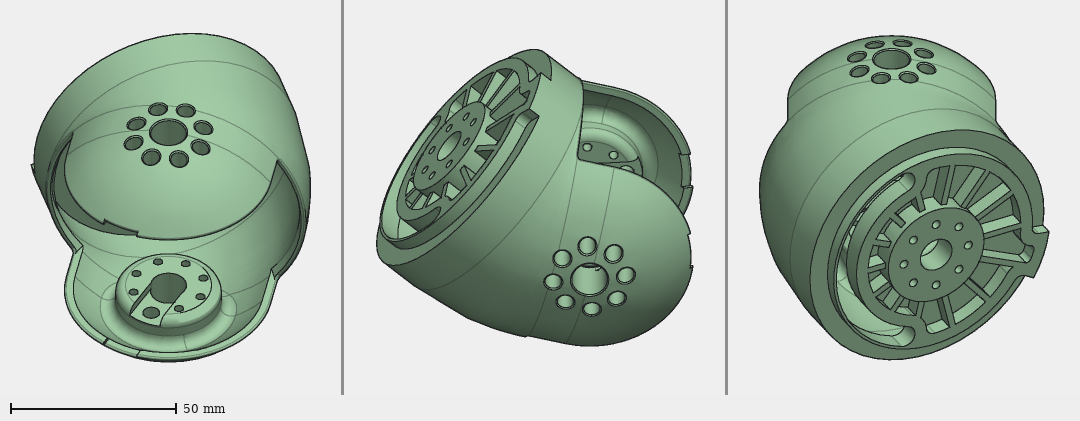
import cadquery as cq
import math


shell_radius = 40.0
wall = 2.5
cavity_radius = shell_radius - wall
base_length = 12.93
bend_angle = 27.85
pivot_gap = 0.03
bend_radius = shell_radius + pivot_gap
straight_length = 11.5

bend = math.radians(bend_angle)
neck_dir = (math.cos(bend), -math.sin(bend))
neck_across = (math.sin(bend), math.cos(bend))
pivot = (base_length, -bend_radius)
neck_end = (pivot[0] + bend_radius * neck_across[0], pivot[1] + bend_radius * neck_across[1])
joint_x = neck_end[0] + straight_length * neck_dir[0]
joint_y = neck_end[1] + straight_length * neck_dir[1]

mouth_half = 24.0
mouth_corner = 1.2
rim_fillet = 0.5
clearance_radius = 40.3
notch_width = 11.5
notch_half_height = 25.0
notch_inner = 20.0

pad_radius = 16.0
pad_half_gap = 22.5
pad_edge_fillet = 3.0
pad_root_fillet = 3.0
channel_width = 10.4
channel_depth = 2.5
channel_angle = -45.0
channel_overrun = 1.0

center_hole = 10.8
bolt_circle = 11.0
bolt_count = 8
bolt_hole = 2.7
bolt_counterbore = 5.0
bolt_seat = 27.0
hole_chamfer = 0.4
cable_hole_index = 7

plate_radius = 34.0
plate_front = -4.0
floor_back = wall
hub_radius = 32.7 / 2
hub_front = -6.0
tab_center_angle = 19.2
tab_half_angle = 11.6
tab_fillet = 2.5

border = 4.0
pocket_floor = 1.0
lobe_fillet = 1.8
lobe_root_fillet = 5.0
pocket_corner_fillet = 2.8
rib_count = 14
rib_width = 2.0

slot_outer = 33.1
slot_inner = 26.2
slot_half_span = 71.0

tolerance = 0.01
far = 3 * shell_radius
edge_samples = (0.0, 0.3, 0.7, 1.0)



def base_plane(x):
    """Workplane facing +X: local x runs along Y, local y along Z."""
    return cq.Workplane("YZ", origin=(x, 0, 0))


def neck_plane():
    """Workplane at the end of the bend: local x runs across the neck, local y along Z."""
    plane = cq.Plane(
        origin=(neck_end[0], neck_end[1], 0),
        xDir=(neck_across[0], neck_across[1], 0),
        normal=(neck_dir[0], neck_dir[1], 0),
    )
    return cq.Workplane(plane)


def joint_plane(z):
    """Workplane facing +Z, centred on the joint axis."""
    return cq.Workplane("XY", origin=(joint_x, joint_y, z))


def both_ears(upper):
    return upper.union(upper.mirror("XY"))


def along_channel(solid):
    """Turn a solid built along +X about the joint axis into the channel direction."""
    return solid.rotate((joint_x, joint_y, 0), (joint_x, joint_y, 1), channel_angle)


def bolt_points():
    step = 2 * math.pi / bolt_count
    return [
        (bolt_circle * math.cos(i * step), bolt_circle * math.sin(i * step))
        for i in range(bolt_count)
    ]


def sample_points(edge):
    return [edge.positionAt(fraction) for fraction in edge_samples]


def lies_on_circle(edge, radius, offset_x=0.0, offset_y=0.0):
    """True if the edge stays at one distance from an axis parallel to the joint axis."""
    for point in sample_points(edge):
        distance = math.hypot(point.x - joint_x - offset_x, point.y - joint_y - offset_y)
        if abs(distance - radius) > tolerance:
            return False
    return True


def reach(edge):
    """Distance of an edge's centre from the base axis."""
    return math.hypot(edge.Center().y, edge.Center().z)



def tube(radius, start):
    """Solid bent tube that ends in a ball around the joint."""
    base = base_plane(start).circle(radius).extrude(base_length - start)
    bent = (
        base_plane(base_length)
        .circle(radius)
        .revolve(bend_angle, (-bend_radius, 0), (-bend_radius, -1))
    )
    straight = neck_plane().circle(radius).extrude(straight_length)
    ball = joint_plane(0).sphere(radius)
    return base.union(bent).union(straight).union(ball)


def mouth():
    """Slab that separates the ears, square to the neck, with rounded root corners."""
    slab = neck_plane().rect(far, 2 * mouth_half).extrude(far)
    toward_base = cq.Vector(-neck_dir[0], -neck_dir[1], 0)
    root = slab.faces(cq.selectors.DirectionMinMaxSelector(toward_base))
    across = cq.Vector(neck_across[0], neck_across[1], 0)
    return root.edges(cq.selectors.ParallelDirSelector(across)).fillet(mouth_corner)


def is_mouth_rim(edge):
    """True for edges that bound the mouth on the outside of the shell."""
    for point in sample_points(edge):
        past_bend = (point.x - neck_end[0]) * neck_dir[0] + (point.y - neck_end[1]) * neck_dir[1]
        if past_bend < -tolerance or abs(point.z) > mouth_half + tolerance:
            return False
    middle = edge.positionAt(0.5)
    rim_radius = math.sqrt(shell_radius ** 2 - mouth_half ** 2)
    return math.hypot(middle.x - joint_x, middle.y - joint_y) > rim_radius - 2 * tolerance


def rim_notch():
    """Recess in the upper ear's rim, in line with the pad channel."""
    notch = (
        joint_plane(0)
        .center(notch_inner, 0)
        .rect(shell_radius, notch_width, centered=(False, True))
        .extrude(notch_half_height)
    )
    return along_channel(notch)


def is_notch_sill(edge):
    """True for the outer edges of the notch floors."""
    sill_radius = math.sqrt(shell_radius ** 2 - notch_half_height ** 2)
    at_floor = abs(abs(edge.Center().z) - notch_half_height) < tolerance
    return at_floor and lies_on_circle(edge, sill_radius)


def outer_shell():
    """Outer solid with the mouth and rim notches cut and their outer edges rounded."""
    shell = tube(shell_radius, 0).cut(mouth())
    rim = [edge for edge in shell.edges().vals() if is_mouth_rim(edge)]
    shell = shell.newObject(rim).fillet(rim_fillet).cut(both_ears(rim_notch()))
    sills = [edge for edge in shell.edges().vals() if is_notch_sill(edge)]
    return shell.newObject(sills).fillet(rim_fillet)



def upper_pad(top):
    pad = joint_plane(pad_half_gap).circle(pad_radius).extrude(top - pad_half_gap)
    return pad.faces("<Z").edges().fillet(pad_edge_fillet)


def pad_channel():
    """Groove in the upper pad, from the centre hole out through the pad's edge."""
    plane = joint_plane(pad_half_gap)
    inner_end = plane.circle(channel_width / 2).extrude(channel_depth)
    straight = (
        plane.rect(pad_radius + channel_overrun, channel_width, centered=(False, True))
        .extrude(channel_depth)
    )
    return along_channel(inner_end.union(straight))


def is_pad_root(edge):
    """True for edges where a pad's wall meets the cavity roof."""
    above_rounding = abs(edge.Center().z) > pad_half_gap + 2 * pad_edge_fillet
    return above_rounding and lies_on_circle(edge, pad_radius)


def neck_clearance():
    """Ball-shaped relief inside the neck rim, as tall as the mouth, clear of the pads."""
    ball = joint_plane(0).sphere(clearance_radius)
    slab = base_plane(base_length).rect(far, 2 * mouth_half).extrude(far)
    pad_room = joint_plane(-mouth_half).circle(pad_radius).extrude(2 * mouth_half)
    return ball.intersect(slab).cut(pad_room)


def cavity():
    """Hollow of the shell, leaving the pads standing on filleted roots."""
    hollow = tube(cavity_radius, floor_back).cut(both_ears(upper_pad(shell_radius)))
    roots = [edge for edge in hollow.edges().vals() if is_pad_root(edge)]
    return hollow.newObject(roots).fillet(pad_root_fillet).union(neck_clearance())



def ear_holes():
    """Centre hole, counterbored bolt holes and one wide cable hole, through both ears."""
    middle = joint_plane(0)
    center = middle.circle(center_hole / 2).extrude(shell_radius)
    bolts = middle.pushPoints(bolt_points()).circle(bolt_hole / 2).extrude(shell_radius)
    heads = (
        joint_plane(bolt_seat)
        .pushPoints(bolt_points())
        .circle(bolt_counterbore / 2)
        .extrude(shell_radius)
    )
    cable_point = bolt_points()[cable_hole_index]
    cable = middle.pushPoints([cable_point]).circle(bolt_counterbore / 2).extrude(shell_radius)
    return both_ears(center.union(bolts).union(heads).union(cable))


def is_hole_mouth(edge):
    """True for edges where an ear hole breaks the outer surface."""
    if edge.geomType() == "LINE" or abs(edge.Center().z) < cavity_radius - wall:
        return False
    if lies_on_circle(edge, center_hole / 2):
        return True
    return any(lies_on_circle(edge, bolt_counterbore / 2, x, y) for x, y in bolt_points())


def housing():
    """Hollow shell with its pads and its drilled, chamfered ears."""
    shell = outer_shell().union(both_ears(upper_pad(bolt_seat))).cut(cavity())
    shell = shell.cut(both_ears(pad_channel())).cut(ear_holes())
    hole_mouths = [edge for edge in shell.edges().vals() if is_hole_mouth(edge)]
    return shell.newObject(hole_mouths).chamfer(hole_chamfer)



def tabbed_disc(inset, root_fillet, back):
    """Round plate with a tab toward the outer wall, its outline moved inward by the inset."""
    depth = back - plate_front
    half_angle = math.radians(tab_half_angle)
    apex = -inset / math.sin(half_angle)
    spread = far * math.tan(half_angle)
    wedge = (
        base_plane(plate_front)
        .polyline([(apex, 0), (apex - far, spread), (apex - far, -spread)])
        .close()
        .extrude(depth)
        .rotate((0, 0, 0), (1, 0, 0), tab_center_angle)
    )
    tab = wedge.intersect(base_plane(plate_front).circle(shell_radius - inset).extrude(depth))
    radius = plate_radius - inset
    plate = base_plane(plate_front).circle(radius).extrude(depth).union(tab)
    tab_roots = [
        edge
        for edge in plate.edges("|X").vals()
        if abs(reach(edge) - radius) < tolerance and edge.Center().y < 0
    ]
    return plate.newObject(tab_roots).fillet(root_fillet)


def curved_slot(growth, back):
    """Round-ended slot along an arc, widened on every side by the growth."""
    depth = back - plate_front
    plane = base_plane(plate_front)
    middle = (slot_outer + slot_inner) / 2
    half_width = (slot_outer - slot_inner) / 2 + growth
    span = math.radians(slot_half_span)
    ray_y = math.cos(span)
    ray_z = math.sin(span)
    ring = plane.circle(middle + half_width).circle(middle - half_width).extrude(depth)
    sector = (
        plane.polyline([(0, 0), (far * ray_y, far * ray_z), (far, 0), (far * ray_y, -far * ray_z)])
        .close()
        .extrude(depth)
    )
    end_points = [(middle * ray_y, middle * ray_z), (middle * ray_y, -middle * ray_z)]
    ends = plane.pushPoints(end_points).circle(half_width).extrude(depth)
    return ring.intersect(sector).union(ends)


def plate_pockets():
    """Recesses between the hub, the ribs and the plate border."""
    depth = pocket_floor - plate_front
    plane = base_plane(plate_front)
    area = tabbed_disc(border, lobe_root_fillet, pocket_floor)
    lobe_corners = [edge for edge in area.edges("|X").vals() if reach(edge) > plate_radius]
    area = area.newObject(lobe_corners).fillet(lobe_fillet)

    area = area.cut(curved_slot(border, pocket_floor))
    slot_corners = [
        edge
        for edge in area.edges("|X").vals()
        if abs(reach(edge) - (plate_radius - border)) < tolerance and edge.Center().y > 0
    ]
    area = area.newObject(slot_corners).fillet(pocket_corner_fillet)

    area = area.cut(plane.circle(hub_radius).extrude(depth))
    rib = plane.rect(shell_radius, rib_width, centered=(False, True)).extrude(depth)
    for i in range(rib_count):
        area = area.cut(rib.rotate((0, 0, 0), (1, 0, 0), i * 360 / rib_count))
    return area


def hub():
    return base_plane(hub_front).circle(hub_radius).extrude(floor_back - hub_front)


def hub_holes():
    depth = floor_back - hub_front
    plane = base_plane(hub_front)
    center = plane.circle(center_hole / 2).extrude(depth)
    bolts = plane.pushPoints(bolt_points()).circle(bolt_hole / 2).extrude(depth)
    return center.union(bolts)


result = (
    housing()
    .union(tabbed_disc(0, tab_fillet, 0))
    .cut(curved_slot(0, floor_back))
    .cut(plate_pockets())
    .union(hub())
    .cut(hub_holes())
)